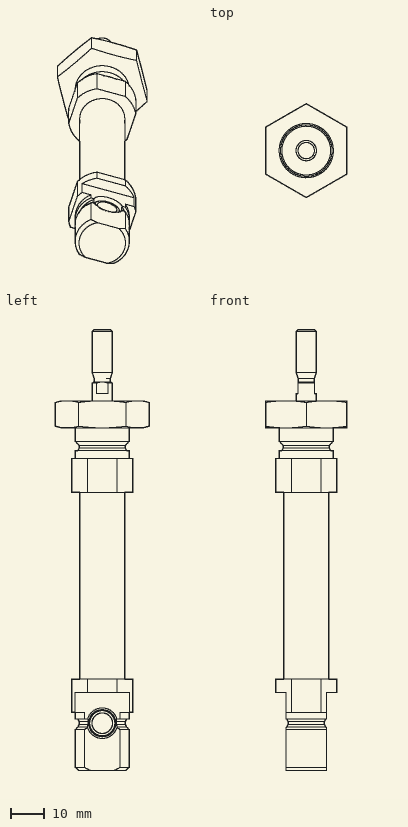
import cadquery as cq
import math


total_height = 130.0

rod_diameter = 6.0
rod_neck_diameter = 4.8
rod_thread_start = 117.3
rod_runout_end = 115.5
rod_shoulder = 114.2
rod_shoulder_bevel = 0.4
rod_flat_width = 5.0
rod_flat_bottom = 111.1

thread_diameter = 16.0
thread_core_diameter = 14.38
thread_radius = thread_diameter / 2
core_radius = thread_core_diameter / 2
thread_chamfer = thread_radius - core_radius
groove_radius = 13.7 / 2
groove_flare_height = 0.75

nut_width = 24.0
nut_height = 8.0
nut_chamfer_angle = 15.0
nut_top = 109.0
nut_bottom = nut_top - nut_height

head_width = 18.0
head_corner_diameter = 20.0
front_head_bottom = 82.0
front_head_top = 92.0
rear_head_bottom = 17.2
rear_head_top = 27.0
tube_diameter = 13.3

collar_top = 94.3
front_thread_bottom = 97.05
front_thread_bevel_bottom = front_thread_bottom - thread_chamfer
front_thread_flare_height = 0.4

rear_bevel_height = 1.0
rear_thread_top = 12.1
rear_thread_bevel_top = rear_thread_top + thread_chamfer
rear_groove_top = 15.2
rear_flat_width = 12.0
rear_flat_top = 23.0

pivot_height = 14.0
pivot_diameter = 6.0
pivot_recess_diameter = 8.0
pivot_mouth_diameter = 9.0
pivot_rim_diameter = 7.4
pivot_rim_depth = 1.0
pivot_recess_depth = 1.3


def revolved(profile):
    """Solid of revolution about Z from an (r, z) outline."""
    return cq.Workplane("XZ").polyline(profile).close().revolve(360, (0, 0, 0), (0, 1, 0))


def square_head(bottom, top):
    """Square block whose corners are rounded by a cylinder about Z."""
    height = top - bottom
    block = cq.Workplane("XY").workplane(offset=bottom).rect(head_width, head_width).extrude(height)
    corner_round = cq.Workplane("XY").workplane(offset=bottom).circle(head_corner_diameter / 2).extrude(height)
    return block.intersect(corner_round)


def side_cutters(flat_width, bottom, top):
    """Pair of blocks that trim a shaft to two flats facing -X and +X."""
    block_size = head_corner_diameter
    offset = (flat_width + block_size) / 2
    return (
        cq.Workplane("XY")
        .workplane(offset=bottom)
        .pushPoints([(-offset, 0), (offset, 0)])
        .rect(block_size, block_size)
        .extrude(top - bottom)
    )


def pivot_cutter():
    """Cross hole along X with a conical recess in each flat and a bevelled rim at its floor."""
    flat = rear_flat_width / 2
    outer = head_corner_diameter / 2
    rim_face = flat - pivot_rim_depth
    recess_floor = flat - pivot_recess_depth
    half_profile = [
        (0, 0),
        (0, pivot_diameter / 2),
        (rim_face, pivot_diameter / 2),
        (rim_face, pivot_rim_diameter / 2),
        (recess_floor, pivot_recess_diameter / 2),
        (flat, pivot_mouth_diameter / 2),
        (outer, pivot_mouth_diameter / 2),
        (outer, 0),
    ]
    half = cq.Workplane("XY").polyline(half_profile).close().revolve(360, (0, 0, 0), (1, 0, 0))
    return half.union(half.mirror("YZ")).translate((0, 0, pivot_height))


def make_housing():
    tube_radius = tube_diameter / 2
    shaft = revolved([
        (0, 0),
        (groove_radius, 0),
        (thread_radius, rear_bevel_height),
        (thread_radius, rear_thread_top),
        (core_radius, rear_thread_bevel_top),
        (groove_radius, rear_thread_bevel_top + groove_flare_height),
        (groove_radius, rear_groove_top - groove_flare_height),
        (core_radius, rear_groove_top),
        (thread_radius, rear_groove_top),
        (thread_radius, rear_head_bottom),
        (tube_radius, rear_head_bottom),
        (tube_radius, front_head_top),
        (thread_radius, front_head_top),
        (thread_radius, collar_top),
        (core_radius, collar_top),
        (groove_radius, collar_top + groove_flare_height),
        (groove_radius, front_thread_bevel_bottom - front_thread_flare_height),
        (core_radius, front_thread_bevel_bottom),
        (thread_radius, front_thread_bottom),
        (thread_radius, nut_top - thread_chamfer),
        (core_radius, nut_top),
        (0, nut_top),
    ])
    body = shaft.union(square_head(front_head_bottom, front_head_top))
    body = body.union(square_head(rear_head_bottom, rear_head_top))
    body = body.cut(side_cutters(rear_flat_width, 0, rear_flat_top))
    return body.cut(pivot_cutter())


def make_nut(housing):
    """Hexagon nut, its bore relieved to fit the housing thread it sits on."""
    corner_radius = nut_width / math.sqrt(3)
    hexagon = (
        cq.Workplane("XY")
        .workplane(offset=nut_bottom)
        .polygon(6, 2 * corner_radius)
        .extrude(nut_height)
        .rotate((0, 0, 0), (0, 0, 1), 30)
    )
    face_radius = nut_width / 2
    drop = (corner_radius - face_radius) * math.tan(math.radians(nut_chamfer_angle))
    corner_bevel = revolved([
        (0, nut_bottom),
        (face_radius, nut_bottom),
        (corner_radius, nut_bottom + drop),
        (corner_radius, nut_top - drop),
        (face_radius, nut_top),
        (0, nut_top),
    ])
    bore = revolved([
        (0, nut_bottom),
        (thread_radius, nut_bottom),
        (core_radius, nut_bottom + thread_chamfer),
        (core_radius, nut_top - thread_chamfer),
        (thread_radius, nut_top),
        (0, nut_top),
    ])
    return hexagon.intersect(corner_bevel).cut(bore).cut(housing)


def make_rod():
    radius = rod_diameter / 2
    neck_radius = rod_neck_diameter / 2
    end_chamfer = radius - neck_radius
    rod = revolved([
        (0, nut_top),
        (radius, nut_top),
        (radius, rod_shoulder),
        (neck_radius, rod_shoulder + rod_shoulder_bevel),
        (neck_radius, rod_runout_end),
        (radius, rod_thread_start),
        (radius, total_height - end_chamfer),
        (neck_radius, total_height),
        (0, total_height),
    ])
    return rod.cut(side_cutters(rod_flat_width, rod_flat_bottom, rod_shoulder + rod_shoulder_bevel))


housing = make_housing()
nut = make_nut(housing)
rod = make_rod()

result = cq.Compound.makeCompound([housing.val(), nut.val(), rod.val()])